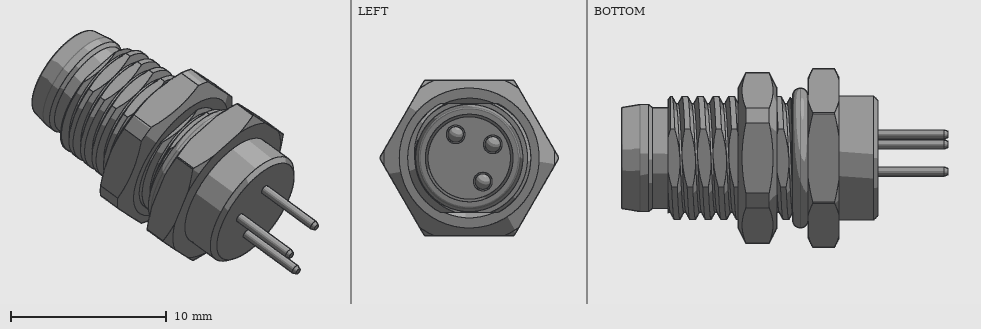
import cadquery as cq
import math


length = 21.0
sleeve_taper_end = 1.2
sleeve_band_end = 1.75
neck_start = 2.0
thread_start = 3.0
thread_end = 10.97
nut_start = 7.5
nut_end = 10.0
flange_start = 12.0
flange_end = 14.0
collar_end = 16.5

sleeve_tip_radius = 3.25
sleeve_band_radius = 3.45
neck_radius = 3.25
sleeve_edge_fillet = 0.1
bore_mouth_radius = 2.82
bore_floor_radius = 2.65
bore_depth = 6.0

thread_major_radius = 3.96
thread_root_radius = 3.5
thread_pitch = 1.0
thread_crest_width = 0.36
thread_base_width = 0.86
thread_crest_at_plus_y = 3.58
thread_flat_height = 3.5
ridge_embed = 0.08
thread_end_radius = 3.75
thread_end_chamfer = 0.16
bevel_seam_angle = 45

across_flats = 10.0
nut_corner_radius = 5.486
nut_face_radius = 4.5
nut_chamfer_length = 0.5
nut_countersink_radius = 3.85
nut_countersink_depth = 0.35
flange_corner_radius = 5.75
flange_face_radius = 5.15
flange_chamfer_length = 0.3

ring_section_radius = 0.5
ring_centre_radius = 4.0
ring_centre = flange_start - ring_section_radius

collar_radius = 4.0
collar_chamfer = 0.3

contact_circle_radius = 1.75
contact_angles = (60, 150, 240)
contact_radius = 0.5
contact_tip = 0.32
contact_recess_radius = 0.6
contact_recess_depth = 0.2
tail_radius = 0.3
tail_chamfer = 0.25
tail_tip_radius = 0.2


def cylinder(start, end, radius):
    return cq.Workplane("YZ", origin=(start, 0, 0)).circle(radius).extrude(end - start)


def turned(points):
    """Revolve an (x, radius) outline about the X axis."""
    return cq.Workplane("XY").polyline(points).close().revolve(360, (0, 0, 0), (1, 0, 0))


def make_sleeve():
    """Flared front sleeve and the neck behind it."""
    sleeve = turned([
        (0, 0),
        (0, sleeve_tip_radius),
        (sleeve_taper_end, sleeve_band_radius),
        (sleeve_band_end, sleeve_band_radius),
        (neck_start, neck_radius),
        (thread_start, neck_radius),
        (thread_start, 0),
    ])
    return sleeve.faces("<X").edges().fillet(sleeve_edge_fillet)


def make_bore():
    """Slightly tapered socket cavity."""
    return turned([
        (0, 0),
        (0, bore_mouth_radius),
        (bore_depth, bore_floor_radius),
        (bore_depth, 0),
    ])


def make_thread_end_bevel(end, inward):
    """Ring that bevels the thread crest at one end; inward is +1 or -1 along X."""
    slope = (thread_major_radius - thread_end_radius) / thread_end_chamfer
    reach = 2 * thread_end_chamfer
    bevel = turned([
        (end - inward * reach, thread_end_radius - reach * slope),
        (end + inward * reach, thread_end_radius + reach * slope),
        (end - inward * reach, thread_end_radius + reach * slope),
    ])
    return bevel.rotate((0, 0, 0), (1, 0, 0), bevel_seam_angle)


def make_thread():
    """Threaded barrel with two flats, reaching under the sealing ring."""
    ridge_foot_radius = thread_root_radius - ridge_embed
    flank_slope = (thread_base_width - thread_crest_width) / 2 / (thread_major_radius - thread_root_radius)
    foot_half_width = thread_base_width / 2 + ridge_embed * flank_slope
    crest_half_width = thread_crest_width / 2
    lead_turns = math.ceil((thread_crest_at_plus_y - thread_start) / thread_pitch) + 1
    sweep_start = thread_crest_at_plus_y - lead_turns * thread_pitch
    sweep_length = thread_end + thread_pitch - sweep_start

    helix = cq.Wire.makeHelix(thread_pitch, sweep_length, thread_root_radius)
    ridge = (
        cq.Workplane("XZ")
        .polyline([
            (ridge_foot_radius, -foot_half_width),
            (thread_major_radius, -crest_half_width),
            (thread_major_radius, crest_half_width),
            (ridge_foot_radius, foot_half_width),
        ])
        .close()
        .sweep(cq.Workplane(helix), isFrenet=True)
        .rotate((0, 0, 0), (1, 1, 1), 120)
        .translate((sweep_start, 0, 0))
    )
    ridge_length = thread_end - thread_start
    envelope = cq.Workplane("XY").box(
        ridge_length,
        4 * thread_major_radius,
        2 * thread_flat_height,
    ).translate((thread_start + ridge_length / 2, 0, 0))
    ridge = ridge.intersect(envelope)
    for end, inward in ((thread_start, 1), (thread_end, -1)):
        ridge = ridge.cut(make_thread_end_bevel(end, inward))
    core = cylinder(thread_start, ring_centre, thread_root_radius)
    return ridge.union(core)


def make_hexagon(start, end, corner_radius, face_radius, chamfer_length):
    """Hexagon with flats at top and bottom and turned chamfers on both faces."""
    corner_diameter = across_flats / math.cos(math.pi / 6)
    prism = cq.Workplane("YZ", origin=(start, 0, 0)).polygon(6, corner_diameter).extrude(end - start)
    envelope = turned([
        (start, 0),
        (start, face_radius),
        (start + chamfer_length, corner_radius),
        (end - chamfer_length, corner_radius),
        (end, face_radius),
        (end, 0),
    ])
    return prism.intersect(envelope)


def make_nut():
    """Panel nut, countersunk on its front face."""
    nut = make_hexagon(nut_start, nut_end, nut_corner_radius, nut_face_radius, nut_chamfer_length)
    countersink = turned([
        (nut_start, 0),
        (nut_start, nut_countersink_radius),
        (nut_start + nut_countersink_depth, thread_root_radius),
        (nut_start + nut_countersink_depth, 0),
    ])
    return nut.cut(countersink)


def make_flange():
    return make_hexagon(
        flange_start, flange_end, flange_corner_radius, flange_face_radius, flange_chamfer_length
    )


def make_sealing_ring():
    """Ring of round section, with a solid hub that joins it to the flange."""
    ring = cq.Workplane("XY").add(
        cq.Solid.makeTorus(
            ring_centre_radius,
            ring_section_radius,
            cq.Vector(ring_centre, 0, 0),
            cq.Vector(1, 0, 0),
        )
    )
    return ring.union(cylinder(ring_centre, flange_end, ring_centre_radius))


def make_collar():
    collar = cylinder(flange_end, collar_end, collar_radius)
    return collar.faces(">X").edges().chamfer(collar_chamfer)


def at_contact(shape, angle):
    """Move a shape from the connector axis to its place on the contact circle."""
    y = contact_circle_radius * math.cos(math.radians(angle))
    z = contact_circle_radius * math.sin(math.radians(angle))
    return shape.translate((0, y, z))


def make_contact():
    """Round-nosed pin in the bore with a thin solder tail at the rear."""
    pin = cylinder(contact_tip + contact_radius, bore_depth + contact_radius, contact_radius)
    nose = cq.Workplane("XY").sphere(contact_radius).translate((contact_tip + contact_radius, 0, 0))
    tail = turned([
        (collar_end - tail_radius, 0),
        (collar_end - tail_radius, tail_radius),
        (length - tail_chamfer, tail_radius),
        (length, tail_tip_radius),
        (length, 0),
    ])
    return pin.union(nose).union(tail)


connector = make_sleeve().union(make_thread()).cut(make_bore())
for section in (make_nut(), make_sealing_ring(), make_flange(), make_collar()):
    connector = connector.union(section)

contact_recess = cylinder(bore_depth, bore_depth + contact_recess_depth, contact_recess_radius)
contact = make_contact()
for contact_angle in contact_angles:
    connector = connector.cut(at_contact(contact_recess, contact_angle))
    connector = connector.union(at_contact(contact, contact_angle))

result = connector